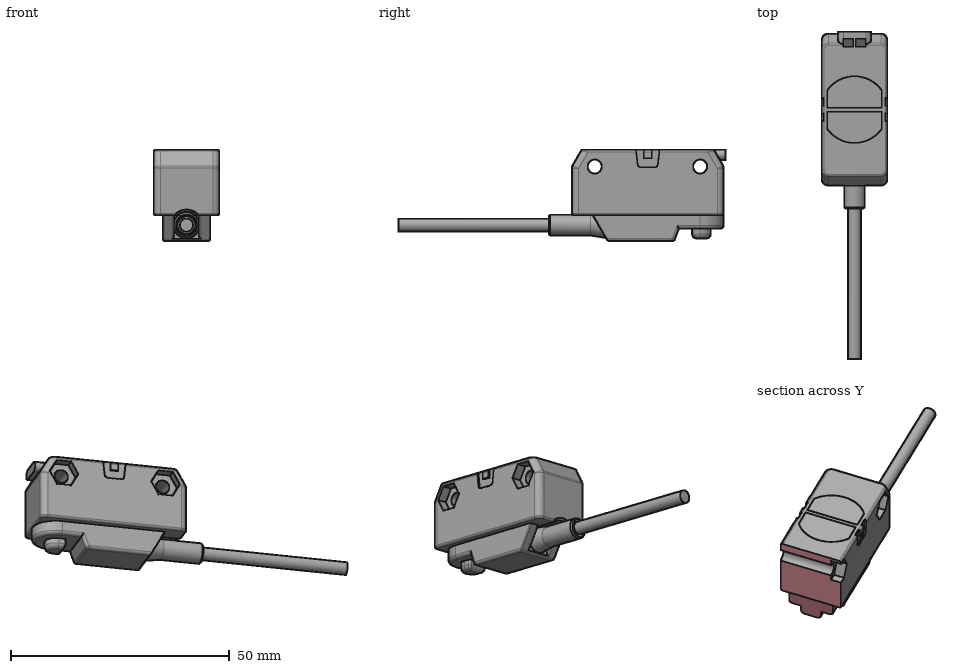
import cadquery as cq
import math


HOUSING_WIDTH = 15.0
HOUSING_LENGTH = 34.7
HOUSING_HEIGHT = 15.0
REAR_Y = HOUSING_LENGTH / 2
FRONT_Y = -HOUSING_LENGTH / 2
SIDE_X = HOUSING_WIDTH / 2
END_SLOPE_HEIGHT = 3.9
END_SLOPE_ANGLE = math.radians(30)
END_SLOPE_RUN = END_SLOPE_HEIGHT * math.tan(END_SLOPE_ANGLE)
END_SLOPE_EDGE_RADIUS = 0.8
CORNER_RADIUS = 1.5
RIM_RADIUS = 0.5

HOLE_SPACING = 24.05
HOLE_MID_Y = -0.1
HOLE_Z = 11.1
HOLE_DIAMETER = 3.15
NUT_ACROSS_FLATS = 5.8
NUT_DEPTH = 2.5

CLIP_TOP_WIDTH = 5.4
CLIP_BOTTOM_WIDTH = 4.5
CLIP_HEIGHT = 4.0
CLIP_CORNER_RADIUS = 0.75
CLIP_DEPTH = 0.45
RIB_WIDTH = 1.8
RIB_HEIGHT = 2.0

BUTTON_RADIUS = 7.6
BUTTON_WIDTH = 12.4
BUTTON_GAP = 0.9
BUTTON_DEPTH = 0.1

TAB_WIDTH = 7.55
TAB_HEIGHT = 2.4
TAB_OVERHANG = 0.45
NOTCH_REAR_INSET = 1.1
NOTCH_LENGTH = 1.9
NOTCH_DEPTH = 1.5
NOTCH_WIDTH = 2.25
NOTCH_GAP = 0.7

CABLE_Z = -2.25
CABLE_RADIUS = 1.5
CABLE_LENGTH = 39.6
BOOT_RADIUS = 2.4
BOOT_LENGTH = 5.3
BOOT_CHAMFER = 0.4
FLARE_RADIUS = 3.0
FLARE_LENGTH = 3.6
FLARE_BACK_Y = FRONT_Y + 7.85
FLARE_CLEARANCE = 0.1

BASE_WIDTH = 10.9
PLATE_THICKNESS = 3.1
PLATE_RIM_RADIUS = 0.8
BLOCK_DEPTH = 5.9
BLOCK_REAR_TOP_Y = REAR_Y - 10.2
BLOCK_REAR_BOTTOM_Y = REAR_Y - 11.3
BLOCK_FRONT_TOP_Y = FRONT_Y + 4.8
BLOCK_FRONT_ANGLE = math.radians(30)
BLOCK_FRONT_BOTTOM_Y = BLOCK_FRONT_TOP_Y + BLOCK_DEPTH * math.tan(BLOCK_FRONT_ANGLE)
BLOCK_RIM_RADIUS = 0.7
BLOCK_FRONT_EDGE_RADIUS = 0.2
BOOT_SLOT_WIDTH = 5.7
BOOT_SLOT_EDGE_RADIUS = 0.4

KNOB_RADIUS = 2.55
KNOB_FLAT = 1.8
KNOB_BOTTOM_Z = -5.3
KNOB_CORNER_RADIUS = 0.45
KNOB_RIM_RADIUS = 1.1


def cylinder_along_y(radius, front_y, back_y):
    """Cylinder about the cable axis."""
    axis_start = cq.Vector(0, front_y, CABLE_Z)
    return cq.Workplane(cq.Solid.makeCylinder(radius, back_y - front_y, axis_start, cq.Vector(0, 1, 0)))


def housing_block():
    """Box with sloped upper ends and rounded edges."""
    slope_z = HOUSING_HEIGHT - END_SLOPE_HEIGHT
    block = (
        cq.Workplane("YZ")
        .moveTo(FRONT_Y, 0)
        .lineTo(REAR_Y, 0)
        .lineTo(REAR_Y, slope_z)
        .lineTo(REAR_Y - END_SLOPE_RUN, HOUSING_HEIGHT)
        .lineTo(FRONT_Y + END_SLOPE_RUN, HOUSING_HEIGHT)
        .lineTo(FRONT_Y, slope_z)
        .close()
        .extrude(SIDE_X, both=True)
    )
    end_faces = block.faces("<Y or >Y")
    block = end_faces.edges("|X").edges(">Z").fillet(END_SLOPE_EDGE_RADIUS)
    block = block.edges("(not |X) and (not |Y)").fillet(CORNER_RADIUS)
    return block.faces(">Z or <Z").edges().fillet(RIM_RADIUS)


def mounting_holes():
    """Through holes, each with a nut pocket in the -X side."""
    centres = [(HOLE_MID_Y + side * HOLE_SPACING / 2, HOLE_Z) for side in (-1, 1)]
    side_plane = cq.Workplane("YZ", origin=(-SIDE_X, 0, 0)).pushPoints(centres)
    holes = side_plane.circle(HOLE_DIAMETER / 2).extrude(HOUSING_WIDTH)
    nut_across_corners = NUT_ACROSS_FLATS / math.cos(math.radians(30))
    return holes.union(side_plane.polygon(6, nut_across_corners).extrude(NUT_DEPTH))


def clip_recesses():
    """Tapered recess in both sides around a rib that stays flush with the side."""
    bottom_z = HOUSING_HEIGHT - CLIP_HEIGHT
    recess = (
        cq.Workplane("YZ")
        .moveTo(-CLIP_TOP_WIDTH / 2, HOUSING_HEIGHT)
        .lineTo(-CLIP_BOTTOM_WIDTH / 2, bottom_z)
        .lineTo(CLIP_BOTTOM_WIDTH / 2, bottom_z)
        .lineTo(CLIP_TOP_WIDTH / 2, HOUSING_HEIGHT)
        .close()
        .extrude(CLIP_DEPTH)
        .edges("|X and <Z")
        .fillet(CLIP_CORNER_RADIUS)
    )
    rib_z = HOUSING_HEIGHT - RIB_HEIGHT / 2
    rib = cq.Workplane("XY").box(2 * CLIP_DEPTH, RIB_WIDTH, RIB_HEIGHT).translate((CLIP_DEPTH, 0, rib_z))
    recess = recess.cut(rib)
    left = recess.translate((-SIDE_X, 0, 0))
    return left.union(left.mirror("YZ"))


def button_recess():
    """Two shallow D-shaped recesses in the top."""
    floor = cq.Workplane("XY", origin=(0, 0, HOUSING_HEIGHT - BUTTON_DEPTH))
    disc = floor.circle(BUTTON_RADIUS).extrude(BUTTON_DEPTH)
    sides = floor.rect(BUTTON_WIDTH, 2 * BUTTON_RADIUS).extrude(BUTTON_DEPTH)
    bar = floor.rect(BUTTON_WIDTH, BUTTON_GAP).extrude(BUTTON_DEPTH)
    return disc.intersect(sides).cut(bar)


def tab():
    """Flat tab with round sides that overhangs the rear slope."""
    start_y = REAR_Y + TAB_OVERHANG
    length = TAB_OVERHANG + END_SLOPE_RUN + RIM_RADIUS
    plane = cq.Workplane("XZ", origin=(0, start_y, HOUSING_HEIGHT - TAB_HEIGHT / 2))
    return plane.slot2D(TAB_WIDTH, TAB_HEIGHT).extrude(length)


def tab_notches():
    """Two wedge notches, deepest at their front wall."""
    rear_y = REAR_Y - NOTCH_REAR_INSET
    wedge = (
        cq.Workplane("YZ")
        .moveTo(rear_y, HOUSING_HEIGHT)
        .lineTo(rear_y - NOTCH_LENGTH, HOUSING_HEIGHT)
        .lineTo(rear_y - NOTCH_LENGTH, HOUSING_HEIGHT - NOTCH_DEPTH)
        .close()
        .extrude(NOTCH_WIDTH)
        .translate((NOTCH_GAP / 2, 0, 0))
    )
    return wedge.union(wedge.mirror("YZ"))


def flare_groove():
    """Arched groove under the front of the housing that clears the flare, with a flared mouth."""
    radius = FLARE_RADIUS + FLARE_CLEARANCE
    groove = cylinder_along_y(radius, FRONT_Y, FLARE_BACK_Y)
    mouth = cq.Solid.makeCone(
        radius + RIM_RADIUS, radius, RIM_RADIUS, cq.Vector(0, FRONT_Y, CABLE_Z), cq.Vector(0, 1, 0)
    )
    return groove.union(cq.Workplane(mouth))


def make_housing():
    housing = housing_block().union(tab())
    for cutter in (mounting_holes(), clip_recesses(), button_recess(), tab_notches(), flare_groove()):
        housing = housing.cut(cutter)
    return housing


def base_body():
    """Plate with a half-round rear end and a deeper block with sloped ends in front of it."""
    half_width = BASE_WIDTH / 2
    arc_centre_y = REAR_Y - half_width
    outline = (
        cq.Workplane("XY")
        .moveTo(-half_width, 0)
        .lineTo(-half_width, arc_centre_y)
        .threePointArc((0, REAR_Y), (half_width, arc_centre_y))
        .lineTo(half_width, 0)
        .close()
    )
    plate = outline.extrude(-PLATE_THICKNESS).faces("<Z").edges("not <Y").fillet(PLATE_RIM_RADIUS)
    rear_slope = (BLOCK_REAR_TOP_Y - BLOCK_REAR_BOTTOM_Y) / (BLOCK_DEPTH - PLATE_THICKNESS)
    block = (
        cq.Workplane("YZ")
        .moveTo(BLOCK_FRONT_TOP_Y, 0)
        .lineTo(BLOCK_FRONT_BOTTOM_Y, -BLOCK_DEPTH)
        .lineTo(BLOCK_REAR_BOTTOM_Y, -BLOCK_DEPTH)
        .lineTo(BLOCK_REAR_BOTTOM_Y + rear_slope * BLOCK_DEPTH, 0)
        .close()
        .extrude(half_width, both=True)
    )
    block = block.faces(">Y").edges("not |X").fillet(BLOCK_RIM_RADIUS)
    block = block.faces("<Z").edges().fillet(BLOCK_RIM_RADIUS)
    block = block.faces("<Y").edges("not |X").fillet(BLOCK_FRONT_EDGE_RADIUS)
    return plate.union(block)


def cut_boot_slot(body):
    """Slot through the front slope, ending in an upright wall behind the flare, with rounded edges."""
    slot_length = FLARE_BACK_Y - FRONT_Y
    centre = (0, FRONT_Y + slot_length / 2, -BLOCK_DEPTH / 2)
    slot = cq.Workplane("XY").box(BOOT_SLOT_WIDTH, slot_length, BLOCK_DEPTH).translate(centre)
    body = body.cut(slot)
    slope_direction = cq.Vector(0, math.sin(BLOCK_FRONT_ANGLE), -math.cos(BLOCK_FRONT_ANGLE))
    slot_edges = body.edges(cq.selectors.ParallelDirSelector(slope_direction)).edges(
        cq.selectors.BoxSelector(
            (-BOOT_SLOT_WIDTH / 2 - BOOT_SLOT_EDGE_RADIUS, FRONT_Y, -BLOCK_DEPTH),
            (BOOT_SLOT_WIDTH / 2 + BOOT_SLOT_EDGE_RADIUS, FLARE_BACK_Y, 0),
        )
    )
    return slot_edges.fillet(BOOT_SLOT_EDGE_RADIUS)


def knob():
    """D-shaped knob about the centre of the plate's round end."""
    return (
        cq.Workplane("XY", origin=(0, REAR_Y - BASE_WIDTH / 2, -PLATE_THICKNESS))
        .moveTo(-KNOB_RADIUS, 0)
        .threePointArc((0, KNOB_RADIUS), (KNOB_RADIUS, 0))
        .lineTo(KNOB_RADIUS, -KNOB_FLAT)
        .lineTo(-KNOB_RADIUS, -KNOB_FLAT)
        .close()
        .extrude(KNOB_BOTTOM_Z + PLATE_THICKNESS)
        .edges("|Z and <Y")
        .fillet(KNOB_CORNER_RADIUS)
        .faces("<Z")
        .edges()
        .fillet(KNOB_RIM_RADIUS)
    )


def cable_and_boot():
    """Round cable, stepping up to the boot and widening to the flare."""
    boot_end_y = FRONT_Y - BOOT_LENGTH
    flare_front_y = FLARE_BACK_Y - FLARE_LENGTH
    profile = (
        cq.Workplane("XY", origin=(0, 0, CABLE_Z))
        .moveTo(0, FRONT_Y - CABLE_LENGTH)
        .lineTo(CABLE_RADIUS, FRONT_Y - CABLE_LENGTH)
        .lineTo(CABLE_RADIUS, boot_end_y)
        .lineTo(BOOT_RADIUS - BOOT_CHAMFER, boot_end_y)
        .lineTo(BOOT_RADIUS, boot_end_y + BOOT_CHAMFER)
        .lineTo(BOOT_RADIUS, flare_front_y)
        .lineTo(FLARE_RADIUS, FLARE_BACK_Y)
        .lineTo(0, FLARE_BACK_Y)
        .close()
    )
    return profile.revolve(360, (0, 0, 0), (0, 1, 0))


def make_base():
    return cut_boot_slot(base_body()).union(knob()).union(cable_and_boot())


housing = make_housing()
base = make_base()
result = cq.Compound.makeCompound([housing.val(), base.val()])